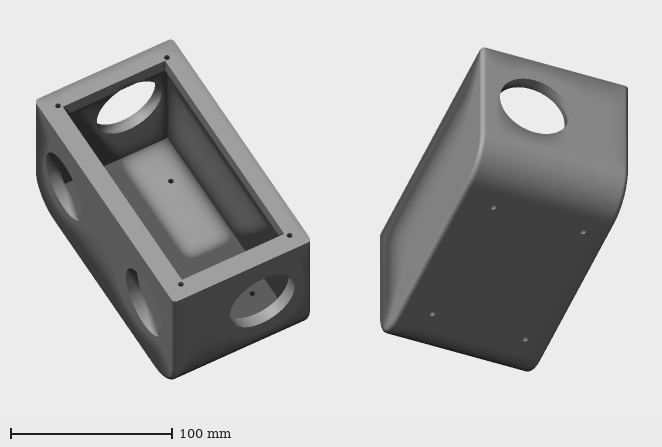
import cadquery as cq

length = 178.0
width = 98.0
height = 98.0
bottom_corner_radius = 25.0
edge_radius = 3.0

wall = 8.0
floor_thickness = wall
rim_depth = 10.0
opening_length = 152.0
opening_width = 72.6
opening_offset_y = 0.4

cable_hole_diameter = 46.0
front_hole_x = 50.9
front_hole_z = 53.0
side_hole_y = 13.9
side_hole_z = 58.0

screw_hole_diameter = 3.5
rim_screws = [(-78.1, -38.1), (78.7, -38.1), (-77.6, 39.0), (78.7, 39.0)]
floor_screws = [(-50.9, -32.8), (49.1, -32.8), (-50.9, 26.9), (49.1, 29.0)]


def upright_box(size_x, size_y, size_z, base_y, base_z):
    """Box centred on X = 0 and Y = base_y, standing on Z = base_z."""
    base = cq.Workplane("XY", origin=(0, base_y, base_z))
    return base.box(size_x, size_y, size_z, centered=(True, True, False))


def make_block():
    """Block with round lower ends; front and back face edges are filleted except at the top."""
    block = upright_box(length, width, height, 0, 0)
    block = block.edges("|Y and <Z").fillet(bottom_corner_radius)
    return block.faces("<Y or >Y").edges("not >Z").fillet(edge_radius)


def make_cavity():
    """Wide chamber below the rim, joined to the narrower top opening."""
    depth = height - floor_thickness
    chamber = upright_box(length - 2 * wall, width - 2 * wall, depth - rim_depth, 0, floor_thickness)
    opening = upright_box(opening_length, opening_width, depth, opening_offset_y, floor_thickness)
    return chamber.union(opening)


def make_front_holes():
    """Two cable holes through the front (-Y) wall only."""
    return (
        cq.Workplane("XZ")
        .pushPoints([(-front_hole_x, front_hole_z), (front_hole_x, front_hole_z)])
        .circle(cable_hole_diameter / 2)
        .extrude(width / 2)
    )


def make_side_holes():
    """One cable hole straight through both end walls."""
    return (
        cq.Workplane("YZ")
        .center(side_hole_y, side_hole_z)
        .circle(cable_hole_diameter / 2)
        .extrude(length / 2, both=True)
    )


def make_screw_holes(points, bottom, depth):
    """Upright screw holes at the given points, starting at Z = bottom."""
    return (
        cq.Workplane("XY", origin=(0, 0, bottom))
        .pushPoints(points)
        .circle(screw_hole_diameter / 2)
        .extrude(depth)
    )


result = (
    make_block()
    .cut(make_cavity())
    .cut(make_front_holes())
    .cut(make_side_holes())
    .cut(make_screw_holes(rim_screws, height - rim_depth, rim_depth))
    .cut(make_screw_holes(floor_screws, 0, floor_thickness))
)